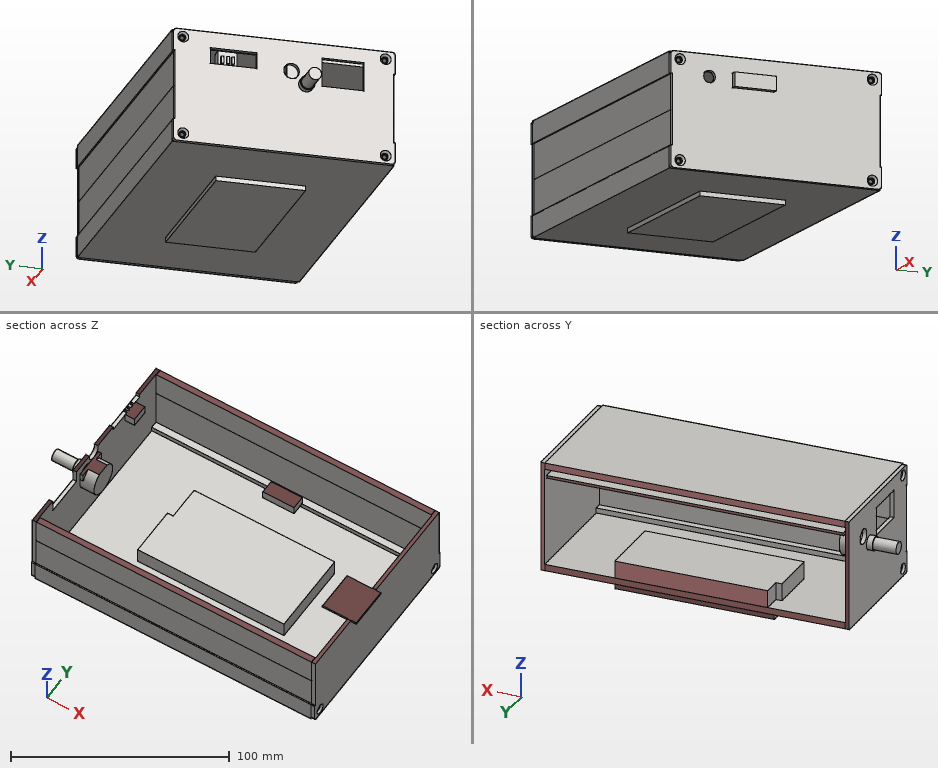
import cadquery as cq


total_length = 171.5
width = 106.0
height = 55.0
height_with_foot = 57.3
split_z = height / 2

front_panel_x = 14.5
panel_thickness = 2.0
housing_x = front_panel_x + panel_thickness
housing_length = 150.0
rear_panel_x = housing_x + housing_length

wall_thickness = 4.0
skin_thickness = 3.5
side_recess_depth = 0.7
side_band_height = 10.6
corner_boss_size = 7.5
corner_boss_height = 6.0
inner_width = width - 2 * wall_thickness

screw_y = 48.4
screw_edge_distance = 3.8
screw_hole_radius = 1.5
countersink_radius = 2.5
countersink_depth = 1.0
tapped_hole_radius = 1.0
tapped_hole_depth = 10.3
drill_tip_length = 1.0

panel_corner_radius = 1.5
socket_window = (-38.0, -18.0, 34.5, 48.4)
switch_window = (13.0, 35.3, 39.6, 47.3)
lamp_hole_y = -3.5
lamp_hole_z = 40.3
lamp_hole_radius = 7.4 / 2
jack_hole_y = -33.6
jack_hole_z = 44.6
jack_hole_radius = 3.0

board_bottom_z = 47.3
board_thickness = 1.5
board_end_gap = 0.9

connector_y = (-22.1, -1.2)
connector_height = 6.9
connector_inner_length = 13.7

switch_y = (22.0, 30.9)
switch_length = 5.3
switch_bottom_z = 37.0
switch_gap = 0.5
switch_front_x = housing_x + switch_gap
pin_centres_y = (24.2, 26.4, 29.2)
pin_width = 1.2
pin_height = 3.5
pin_length = 1.4
pin_z = 42.7

component_y = (18.5, 25.7)
component_x = (94.3, 111.5)
component_height = 10.3

shaft_y = -10.3
shaft_z = 34.3
shaft_radius = 6.0 / 2
collar_radius = 7.0 / 2
collar_x = 11.7
pot_body_x = 18.5
pot_body_radius = 7.9
pot_body_length = 7.7
pot_plate_thickness = 1.7
pot_plate_rise = 3.1

foot_x = (52.1, 131.7)
foot_width = 42.9
foot_thickness = height_with_foot - height

block_height = 8.5
block_step_y = 3.8
block_step_depth = 3.1


def box(x, y, z):
    """Box between the (low, high) limits given along X, Y and Z."""
    return cq.Workplane("XY").box(
        x[1] - x[0], y[1] - y[0], z[1] - z[0], centered=False
    ).translate((x[0], y[0], z[0]))


def rod(x, length, radius, y, z):
    """Cylinder along X that starts at x."""
    return cq.Workplane("YZ", origin=(x, y, z)).circle(radius).extrude(length)


def cone(x, length, start_radius, end_radius, y, z):
    """Cone along X whose radius goes from start_radius to end_radius."""
    profile = [(0, 0), (start_radius, 0), (end_radius, length), (0, length)]
    if end_radius == 0:
        profile.pop()
    turned = cq.Workplane("XY").polyline(profile).close().revolve(360, (0, 0), (0, 1))
    return turned.rotate((0, 0, 0), (0, 0, 1), -90).translate((x, y, z))


def side_profile(x, length):
    """Block with the long shallow recess along both sides, as wide and high as the enclosure."""
    block = box((x, x + length), (-width / 2, width / 2), (0, height))
    recess_z = (side_band_height, height - side_band_height)
    recess_floor = width / 2 - side_recess_depth
    for recess_y in ((-width / 2, -recess_floor), (recess_floor, width / 2)):
        block = block.cut(box((x, x + length), recess_y, recess_z))
    return block


def screw_places():
    """Y and Z of the four corner screws."""
    return [
        (y, z)
        for y in (-screw_y, screw_y)
        for z in (screw_edge_distance, height - screw_edge_distance)
    ]


def make_shell():
    """Hollow tube of the whole housing with corner bosses and tapped holes."""
    x = (housing_x, rear_panel_x)
    cavity = box(x, (-inner_width / 2, inner_width / 2), (skin_thickness, height - skin_thickness))
    for side in (-1, 1):
        boss_y = sorted((side * width / 2, side * (width / 2 - corner_boss_size)))
        for boss_z in ((0, corner_boss_height), (height - corner_boss_height, height)):
            cavity = cavity.cut(box(x, boss_y, boss_z))
    shell = side_profile(housing_x, housing_length).cut(cavity)

    for y, z in screw_places():
        hole = rod(housing_x, tapped_hole_depth, tapped_hole_radius, y, z).union(
            cone(housing_x + tapped_hole_depth, drill_tip_length, tapped_hole_radius, 0, y, z)
        )
        rear_hole = hole.mirror("YZ", (housing_x + housing_length / 2, 0, 0))
        shell = shell.cut(hole).cut(rear_hole)
    return shell


def make_upper_housing():
    x = (housing_x, rear_panel_x)
    return make_shell().intersect(box(x, (-width / 2, width / 2), (split_z, height)))


def make_lower_housing():
    x = (housing_x, rear_panel_x)
    return make_shell().intersect(box(x, (-width / 2, width / 2), (0, split_z)))


def make_blank_panel(x, outer_x, inward):
    """End panel with rounded corners and countersunk screw holes on its outer face."""
    panel = side_profile(x, panel_thickness)
    rounded = (
        box((x, x + panel_thickness), (-width / 2, width / 2), (0, height))
        .edges("|X")
        .fillet(panel_corner_radius)
    )
    panel = panel.intersect(rounded)
    for y, z in screw_places():
        sink = cone(0, countersink_depth, countersink_radius, screw_hole_radius, y, z)
        if inward < 0:
            sink = sink.mirror("YZ")
        panel = panel.cut(rod(x, panel_thickness, screw_hole_radius, y, z))
        panel = panel.cut(sink.translate((outer_x, 0, 0)))
    return panel


def make_front_panel():
    panel = make_blank_panel(front_panel_x, front_panel_x, 1)
    for y_low, y_high, z_low, z_high in (socket_window, switch_window):
        panel = panel.cut(box((front_panel_x, housing_x), (y_low, y_high), (z_low, z_high)))
    panel = panel.cut(rod(front_panel_x, panel_thickness, lamp_hole_radius, lamp_hole_y, lamp_hole_z))
    return panel.cut(rod(front_panel_x, panel_thickness, collar_radius, shaft_y, shaft_z))


def connector_block():
    x = (rear_panel_x - connector_inner_length, total_length)
    return box(x, connector_y, (board_bottom_z - connector_height, board_bottom_z))


def make_rear_panel():
    panel = make_blank_panel(rear_panel_x, rear_panel_x + panel_thickness, -1)
    panel = panel.cut(rod(rear_panel_x, panel_thickness, jack_hole_radius, jack_hole_y, jack_hole_z))
    return panel.cut(connector_block())


def potentiometer():
    """Shaft, collar and round body, with a plate that reaches up to the board."""
    pot = rod(0, collar_x, shaft_radius, shaft_y, shaft_z)
    pot = pot.union(rod(collar_x, pot_body_x - collar_x, collar_radius, shaft_y, shaft_z))
    pot = pot.union(rod(pot_body_x, pot_body_length, pot_body_radius, shaft_y, shaft_z))
    plate = box(
        (pot_body_x, pot_body_x + pot_plate_thickness),
        (shaft_y - pot_body_radius, shaft_y + pot_body_radius),
        (shaft_z + pot_plate_rise, board_bottom_z),
    )
    return pot.union(plate)


def make_circuit_board():
    """Board with its switch, potentiometer, rear connector and one further component."""
    board = box(
        (housing_x + board_end_gap, rear_panel_x - board_end_gap),
        (-inner_width / 2, inner_width / 2),
        (board_bottom_z, board_bottom_z + board_thickness),
    )
    switch_x = (switch_front_x, switch_front_x + switch_length)
    board = board.union(box(switch_x, switch_y, (switch_bottom_z, board_bottom_z)))
    for y in pin_centres_y:
        pin = box(
            (switch_front_x - pin_length, switch_front_x),
            (y - pin_width / 2, y + pin_width / 2),
            (pin_z - pin_height / 2, pin_z + pin_height / 2),
        )
        board = board.union(pin)
    component_z = (board_bottom_z - component_height, board_bottom_z)
    board = board.union(box(component_x, component_y, component_z))
    return board.union(connector_block()).union(potentiometer())


def make_foot():
    return box(foot_x, (-foot_width / 2, foot_width / 2), (-foot_thickness, 0))


def make_block():
    """Block with the outline of the foot, set back along part of its front."""
    z = (skin_thickness, skin_thickness + block_height)
    block = box(foot_x, (-foot_width / 2, foot_width / 2), z)
    step_x = (foot_x[0], foot_x[0] + block_step_depth)
    return block.cut(box(step_x, (block_step_y, foot_width / 2), z))


upper_housing = make_upper_housing()
lower_housing = make_lower_housing()
front_panel = make_front_panel()
rear_panel = make_rear_panel()
circuit_board = make_circuit_board()
foot = make_foot()
block = make_block()

result = cq.Compound.makeCompound(
    [
        upper_housing.val(),
        lower_housing.val(),
        front_panel.val(),
        rear_panel.val(),
        circuit_board.val(),
        foot.val(),
        block.val(),
    ]
)